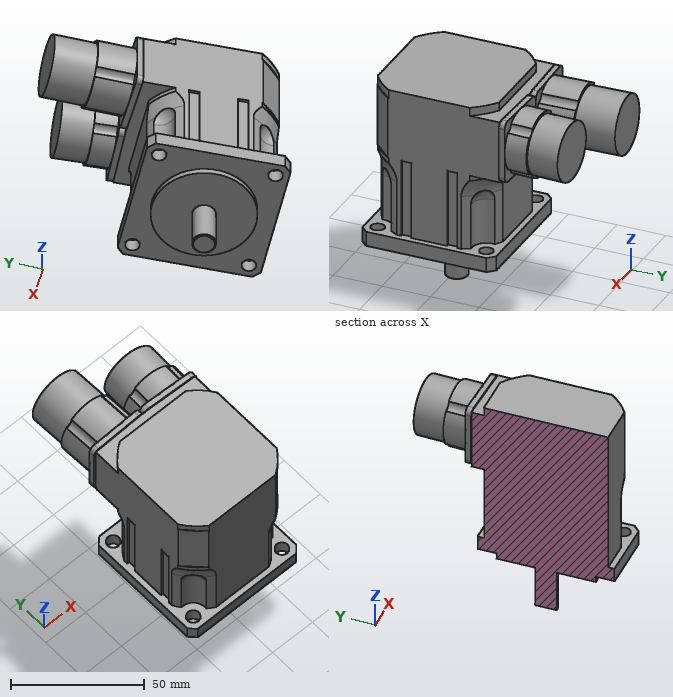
import cadquery as cq
import math


flange_side = 55.0
flange_thickness = 6.0
flange_chamfer = 2.7
hole_diameter = 5.5
hole_offset = 22.3
pilot_diameter = 40.0
pilot_height = 2.5
shaft_diameter = 9.0
shaft_end_z = -20.0
shaft_chamfer = 0.5

body_side = 49.9
body_half = body_side / 2
body_top_z = 66.9
upper_corner_radius = 30.0
lower_corner_radius = 28.3
neck_bottom_z = 28.5
neck_top_z = 35.85

slot_radius = 6.0
slot_straight_top_z = 24.9

box_bottom_z = 37.95
box_top_z = 63.5
box_front_chamfer = 8.05
front_flat_end = body_half - box_front_chamfer
box_apex_y = 30.0

side_groove_width = 4.1
side_groove_depth = 1.0
side_groove_offset = 9.4

connector_tilt = 2.0
connector_z = 51.0
collar_diameter = 26.0
plate_side = 25.9
plate_thickness = 2.5
plate_corner_radius = 2.5
plug_diameter = 24.0
clearance_radius = 2.7
clearance_offset = plate_side / 2 - plate_corner_radius
long_collar_end = 17.5
long_plug_end = 34.0
short_collar_end = 11.4
short_plug_end = 24.0

tilt_slope = math.tan(math.radians(connector_tilt))
corner_signs = [(-1, -1), (1, -1), (1, 1), (-1, 1)]


def disc(diameter, bottom_z, top_z):
    """Cylinder centred on the Z axis."""
    return cq.Workplane("XY").workplane(offset=bottom_z).circle(diameter / 2).extrude(top_z - bottom_z)


def make_flange():
    hole_points = [(sx * hole_offset, sy * hole_offset) for sx, sy in corner_signs]
    return (
        cq.Workplane("XY")
        .rect(flange_side, flange_side)
        .extrude(flange_thickness)
        .edges("|Z")
        .chamfer(flange_chamfer)
        .faces(">Z")
        .workplane()
        .pushPoints(hole_points)
        .hole(hole_diameter)
    )


def make_shaft():
    """Output shaft and the pilot disc under the flange."""
    shaft = disc(shaft_diameter, shaft_end_z, 0).faces("<Z").chamfer(shaft_chamfer)
    pilot = disc(pilot_diameter, -pilot_height, 0)
    return shaft.union(pilot)


def make_body():
    """Square column with turned corners that narrow below the connector box."""
    turned = (
        cq.Workplane("XZ")
        .moveTo(0, flange_thickness)
        .lineTo(lower_corner_radius, flange_thickness)
        .lineTo(lower_corner_radius, neck_bottom_z)
        .tangentArcPoint((upper_corner_radius, neck_top_z), relative=False)
        .lineTo(upper_corner_radius, body_top_z)
        .lineTo(0, body_top_z)
        .close()
        .revolve(360, (0, 0, 0), (0, 1, 0))
    )
    column = cq.Workplane("XY").rect(body_side, body_side).extrude(body_top_z)
    return turned.intersect(column)


def make_connector_box():
    """Box with flat front corners and a shallow roof-shaped back face."""
    back_y = box_apex_y - body_half * tilt_slope
    return (
        cq.Workplane("XY")
        .workplane(offset=box_bottom_z)
        .polyline(
            [
                (-front_flat_end, -body_half),
                (front_flat_end, -body_half),
                (body_half, -front_flat_end),
                (body_half, back_y),
                (0, box_apex_y),
                (-body_half, back_y),
                (-body_half, -front_flat_end),
            ]
        )
        .close()
        .extrude(box_top_z - box_bottom_z)
    )


def make_front_corner_cuts():
    """Prisms that leave the front corners of the body flat at the height of the connector box."""
    cuts = cq.Workplane("XY")
    for side in (-1, 1):
        corner = (
            cq.Workplane("XY")
            .workplane(offset=box_bottom_z)
            .polyline(
                [
                    (side * front_flat_end, -body_half),
                    (side * body_half, -body_half),
                    (side * body_half, -front_flat_end),
                ]
            )
            .close()
            .extrude(box_top_z - box_bottom_z)
        )
        cuts = cuts.union(corner)
    return cuts


def make_screw_slots():
    """Round-topped slots down the corners of the body."""
    slots = cq.Workplane("XY")
    for sx, sy in corner_signs:
        center_x = sx * hole_offset
        center_y = sy * hole_offset
        straight = (
            cq.Workplane("XY")
            .workplane(offset=flange_thickness)
            .center(center_x, center_y)
            .circle(slot_radius)
            .extrude(slot_straight_top_z - flange_thickness)
        )
        dome = cq.Workplane("XY").sphere(slot_radius).translate((center_x, center_y, slot_straight_top_z))
        slots = slots.union(straight).union(dome)
    return slots


def make_side_grooves():
    groove_centers = [
        (sx * (body_half - side_groove_depth / 2), sy * side_groove_offset) for sx, sy in corner_signs
    ]
    return (
        cq.Workplane("XY")
        .workplane(offset=flange_thickness)
        .pushPoints(groove_centers)
        .rect(side_groove_depth, side_groove_width)
        .extrude(box_bottom_z - flange_thickness)
    )


def make_housing():
    column = make_body().cut(make_front_corner_cuts()).cut(make_screw_slots()).cut(make_side_grooves())
    return column.union(make_connector_box()).union(make_flange()).union(make_shaft())


def make_connector(side, collar_end, plug_end):
    """Connector on the -X (side = -1) or +X (side = 1) half of the back face.

    It is built along Z from its mounting face, then laid along +Y and tilted outward.
    """
    plate = cq.Workplane("XY").rect(plate_side, plate_side).extrude(plate_thickness)
    plate = plate.edges("|Z").fillet(plate_corner_radius)
    clearance_points = [(sx * clearance_offset, sy * clearance_offset) for sx, sy in corner_signs]
    clearances = (
        cq.Workplane("XY")
        .workplane(offset=plate_thickness)
        .pushPoints(clearance_points)
        .circle(clearance_radius)
        .extrude(collar_end - plate_thickness)
    )
    collar = disc(collar_diameter, plate_thickness, collar_end).cut(clearances)
    plug = disc(plug_diameter, 0, plug_end)
    connector = plate.union(collar).union(plug)
    center_x = plate_side / 2 * math.cos(math.radians(connector_tilt))
    center_y = box_apex_y - center_x * tilt_slope
    return (
        connector.rotate((0, 0, 0), (1, 0, 0), -90)
        .rotate((0, 0, 0), (0, 0, 1), -side * connector_tilt)
        .translate((side * center_x, center_y, connector_z))
    )


housing = make_housing()
connectors = [
    make_connector(-1, long_collar_end, long_plug_end),
    make_connector(1, short_collar_end, short_plug_end),
]

result = cq.Compound.makeCompound([housing.val(), *[connector.val() for connector in connectors]])